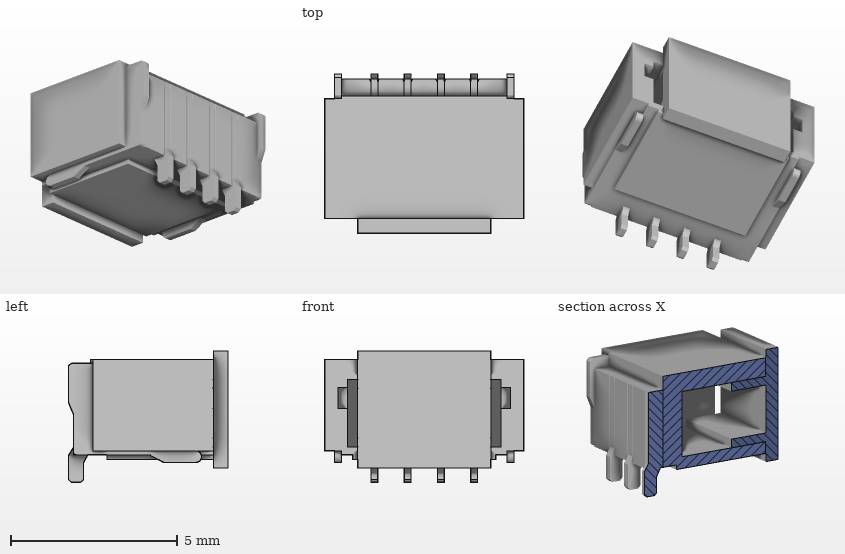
import cadquery as cq

body_width = 6.0
body_height = 2.755
body_depth = 3.61
back_pad_depth = 0.085
ledge_back = 4.205
ledge_drop = 0.425
base_step = 0.115
rib_width = 4.3
rib_drop = 0.26
rib_back = 3.205

pocket_width = 4.61
pocket_floor = 0.125
pocket_height = 2.03
pocket_depth = 3.0
key_width = 5.2
key_floor = 1.285
key_height = 0.625
key_depth = 1.2

pin_count = 4
pin_pitch = 1.0
pin_thickness = 0.21
foot_back = 4.355
foot_width = 0.455
foot_bottom = -0.95
foot_chamfer = 0.09
outer_bend_top = 0.11
outer_bend_bottom = -0.14
inner_bend_front = 3.775
inner_bend_bottom = -0.355
slot_lead_in = 0.035
slot_lead_depth = 0.085

nail_thickness = 0.215
nail_outer = 2.7
nail_top = 2.645
nail_round = 0.085
nail_chamfer_depth = 0.1
nail_chamfer_height = 0.07
nail_bend_top = 1.45
nail_bend_bottom = 1.09
nail_slope_back = 1.93
nail_slope_front = 1.495
nail_foot_bottom = -0.35
nail_front = 0.355

cover_width = 4.0
cover_thickness = 0.445
cover_top = 3.01
cover_height = 3.53
leg_thickness = 0.27
leg_length = 1.235

nail_inner = nail_outer - nail_thickness
mid_width = 2 * nail_inner
pad_back = body_depth + back_pad_depth
ledge_top = body_height - ledge_drop
pin_xs = [(i - (pin_count - 1) / 2) * pin_pitch for i in range(pin_count)]


def block(width, y_front, y_back, z_bottom, z_top):
    """Box centred on X between the given Y and Z planes."""
    return cq.Workplane("XY").box(
        width, y_back - y_front, z_top - z_bottom, centered=(True, False, False)
    ).translate((0, y_front, z_bottom))


def make_pin_slot(x):
    """Slot through the ledge, flared where it opens at the back."""
    half = pin_thickness / 2
    flare = half + slot_lead_in
    flare_start = ledge_back - slot_lead_depth
    return (
        cq.Workplane("XY", origin=(x, 0, -base_step))
        .polyline([
            (-half, pad_back), (half, pad_back), (half, flare_start), (flare, ledge_back),
            (-flare, ledge_back), (-half, flare_start),
        ])
        .close()
        .extrude(ledge_top + base_step)
    )


def make_housing():
    housing = (
        block(body_width, 0, body_depth, 0, body_height)
        .union(block(mid_width, 0, pad_back, -base_step, body_height))
        .union(block(mid_width, 0, ledge_back, -base_step, ledge_top))
        .union(block(rib_width, 0, rib_back, -rib_drop, 0))
    )
    housing = housing.cut(block(pocket_width, 0, pocket_depth, pocket_floor, pocket_floor + pocket_height))
    housing = housing.cut(block(key_width, 0, key_depth, key_floor, key_floor + key_height))
    for x in pin_xs:
        housing = housing.cut(make_pin_slot(x))
    return housing


def make_pin(x):
    """Flat terminal filling its slot, with a foot cranked backwards below the ledge."""
    foot_front = foot_back - foot_width
    return (
        cq.Workplane("YZ", origin=(x - pin_thickness / 2, 0, 0))
        .polyline([
            (pad_back, ledge_top), (ledge_back, ledge_top), (ledge_back, outer_bend_top),
            (foot_back, outer_bend_bottom),
            (foot_back, foot_bottom + foot_chamfer), (foot_back - foot_chamfer, foot_bottom),
            (foot_front + foot_chamfer, foot_bottom), (foot_front, foot_bottom + foot_chamfer),
            (foot_front, inner_bend_bottom), (inner_bend_front, -base_step), (pad_back, -base_step),
        ])
        .close()
        .extrude(pin_thickness)
    )


def rounded_corner(body, x, y, z, radius):
    """Fillet the edge along X nearest to the given point."""
    return body.edges(cq.selectors.NearestToPointSelector((x, y, z))).fillet(radius)


def make_nail(x_centre):
    """L-shaped solder nail with a round toe, lying against the back and the underside of the housing."""
    toe_radius = -nail_foot_bottom / 2
    toe_start = nail_front + toe_radius
    nail = (
        cq.Workplane("YZ", origin=(x_centre - nail_thickness / 2, 0, 0))
        .polyline([
            (body_depth, 0), (body_depth, nail_top),
            (foot_back - nail_chamfer_depth, nail_top), (foot_back, nail_top - nail_chamfer_height),
            (foot_back, nail_bend_top), (ledge_back, nail_bend_bottom), (ledge_back, -base_step),
            (nail_slope_back, -base_step), (nail_slope_front, nail_foot_bottom),
            (toe_start, nail_foot_bottom),
        ])
        .threePointArc((nail_front, -toe_radius), (toe_start, 0))
        .close()
        .extrude(nail_thickness)
    )
    nail = rounded_corner(nail, x_centre, body_depth, nail_top, nail_round)
    return rounded_corner(nail, x_centre, ledge_back, -base_step, nail_round)


def make_cover():
    """Flat pick-up plate with an upper and a lower leg gripping the pocket."""
    cover = block(cover_width, -cover_thickness, 0, cover_top - cover_height, cover_top)
    for leg_bottom in (pocket_floor, pocket_floor + pocket_height - leg_thickness):
        cover = cover.union(block(cover_width, 0, leg_length, leg_bottom, leg_bottom + leg_thickness))
    return cover


housing = make_housing()
cover = make_cover()
pins = [make_pin(x) for x in pin_xs]
nail_centre = nail_outer - nail_thickness / 2
nails = [make_nail(x) for x in (-nail_centre, nail_centre)]

bodies = [housing, cover, *pins, *nails]
result = cq.Compound.makeCompound([body.val() for body in bodies])